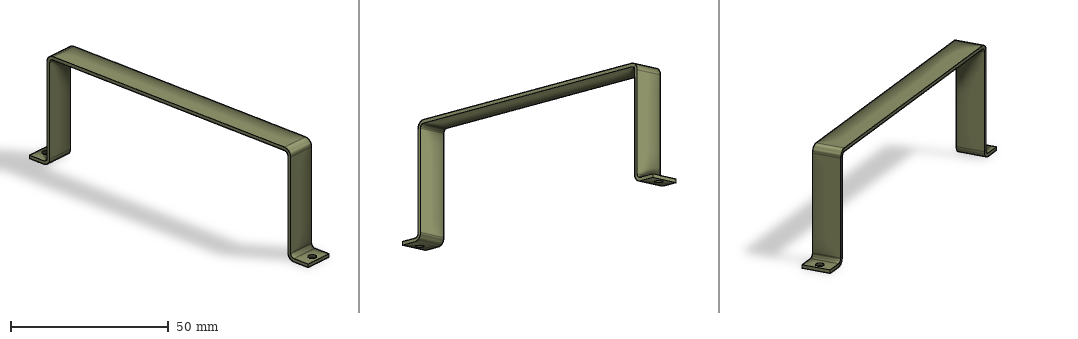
import cadquery as cq

overall_length = 118.0
strip_width = 10.0
overall_height = 39.2
thickness = 1.2
inner_bend_radius = 1.4
foot_projection = 7.4
hole_diameter = 2.7
hole_edge_distance = 2.7

half_length = overall_length / 2
leg_outer_x = half_length - foot_projection
leg_inner_x = leg_outer_x - thickness
bridge_underside_z = overall_height - thickness
outer_bend_radius = inner_bend_radius + thickness
hole_x = half_length - hole_edge_distance


def make_strip():
    """Extrude the sharp-cornered hat profile across the width of the strip."""
    right_side = [
        (leg_outer_x, overall_height),
        (leg_outer_x, thickness),
        (half_length, thickness),
        (half_length, 0),
        (leg_inner_x, 0),
        (leg_inner_x, bridge_underside_z),
    ]
    left_side = [(-x, z) for x, z in reversed(right_side)]
    return (
        cq.Workplane("XZ")
        .polyline(right_side + left_side)
        .close()
        .extrude(strip_width / 2, both=True)
    )


def round_edges_at(body, x, z, radius):
    """Round the pair of bend edges at (x, z) and its mirror image (-x, z)."""
    for side in (-1, 1):
        edge = cq.selectors.NearestToPointSelector((side * x, 0, z))
        body = body.edges("|Y").edges(edge).fillet(radius)
    return body


def bend_corners(body):
    """Give all four bends concentric inner and outer radii."""
    body = round_edges_at(body, leg_outer_x, overall_height, outer_bend_radius)
    body = round_edges_at(body, leg_inner_x, bridge_underside_z, inner_bend_radius)
    body = round_edges_at(body, leg_inner_x, 0, outer_bend_radius)
    return round_edges_at(body, leg_outer_x, thickness, inner_bend_radius)


def drill_feet(body):
    """Cut one screw hole vertically through each foot."""
    holes = (
        cq.Workplane("XY")
        .pushPoints([(-hole_x, 0), (hole_x, 0)])
        .circle(hole_diameter / 2)
        .extrude(thickness)
    )
    return body.cut(holes)


result = drill_feet(bend_corners(make_strip()))